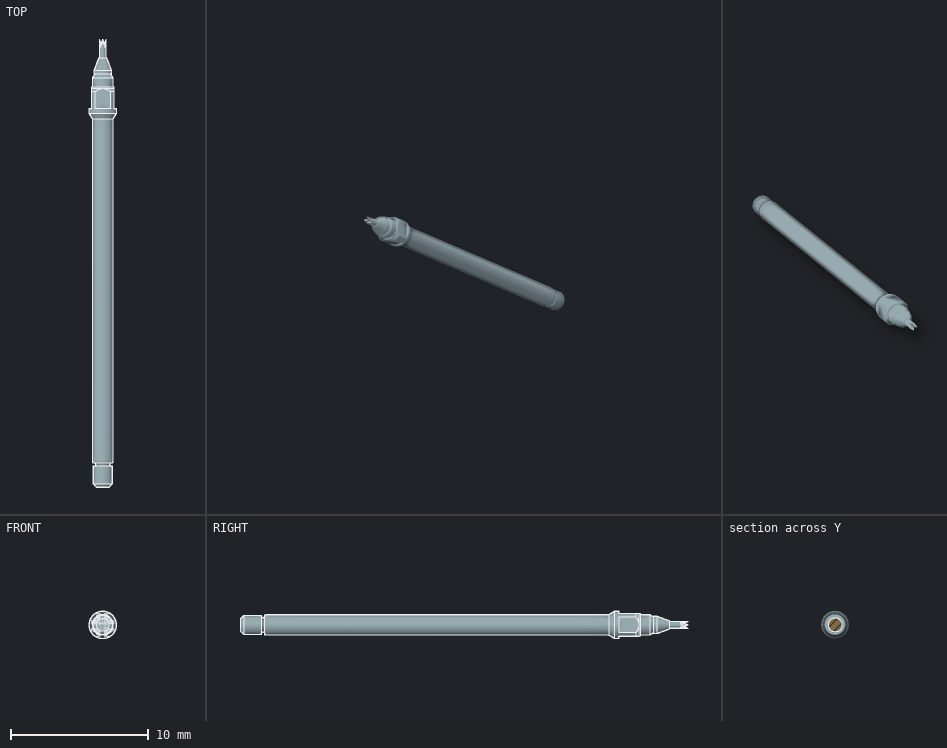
import cadquery as cq
import math

total_length = 32.5

tip_length = 1.35
nose_cone_end = 2.26
nose_land_end = 2.5
front_barrel_start = 2.78
wrench_start = 3.45
wrench_land_end = 3.55
wrench_full_start = 3.77
collar_start = 5.02
collar_end = 5.35
collar_taper_end = 5.76

tail_chamfer_length = 0.25
groove_rear = 1.53
groove_front = 1.76
groove_lip_end = 1.88

tip_radius = 0.25
nose_small_radius = 0.3
nose_large_radius = 0.64
neck_radius = 0.56
barrel_radius = 0.75
wrench_front_radius = 0.82
collar_radius = 1.0
groove_floor_radius = 0.52
groove_lip_radius = 0.72
tail_radius = 0.7
tail_end_radius = 0.45

across_flats = 1.66

crown_depth = 0.55
crown_groove_angles = (45, 135)


def from_tip(distance):
    """Y position of a station measured back from the crown tip."""
    return total_length - distance


def turned_body():
    """Revolve the half profile, given as (radius, Y), about the Y axis."""
    groove_round = (groove_front - groove_rear) / 2
    groove_side_radius = groove_floor_radius + groove_round
    profile = (
        cq.Workplane("XY")
        .lineTo(tail_end_radius, 0)
        .lineTo(tail_radius, tail_chamfer_length)
        .lineTo(tail_radius, groove_rear)
        .lineTo(groove_side_radius, groove_rear)
        .threePointArc(
            (groove_floor_radius, groove_rear + groove_round),
            (groove_side_radius, groove_front),
        )
        .lineTo(groove_lip_radius, groove_front)
        .lineTo(barrel_radius, groove_lip_end)
        .lineTo(barrel_radius, from_tip(collar_taper_end))
        .lineTo(collar_radius, from_tip(collar_end))
        .lineTo(collar_radius, from_tip(wrench_full_start))
        .lineTo(wrench_front_radius, from_tip(wrench_land_end))
        .lineTo(wrench_front_radius, from_tip(wrench_start))
        .lineTo(barrel_radius, from_tip(wrench_start))
        .lineTo(barrel_radius, from_tip(front_barrel_start))
        .lineTo(neck_radius, from_tip(nose_land_end))
        .lineTo(nose_large_radius, from_tip(nose_land_end))
        .lineTo(nose_large_radius, from_tip(nose_cone_end))
        .lineTo(nose_small_radius, from_tip(tip_length))
        .lineTo(tip_radius, from_tip(tip_length))
        .lineTo(tip_radius, total_length)
        .lineTo(0, total_length)
        .close()
    )
    return profile.revolve(360, (0, 0, 0), (0, 1, 0))


def wrench_flat_cutter():
    """Square ring that trims the wrench section to its four flats."""
    length = collar_start - wrench_start
    centre_y = from_tip((collar_start + wrench_start) / 2)
    stock_width = 3 * collar_radius
    outer = cq.Workplane("XY").box(stock_width, length, stock_width)
    inner = cq.Workplane("XY").box(across_flats, length, across_flats)
    return outer.cut(inner).translate((0, centre_y, 0))


def crown_groove(angle):
    """V groove across the tip, turned about the Y axis by the angle.

    Its half width lets two crossing grooves meet in sharp points on the tip rim.
    """
    half_width = tip_radius * math.sin(math.radians(45))
    groove = (
        cq.Workplane("XY")
        .moveTo(-half_width, total_length)
        .lineTo(0, from_tip(crown_depth))
        .lineTo(half_width, total_length)
        .close()
        .extrude(2 * tip_radius, both=True)
    )
    return groove.rotate((0, 0, 0), (0, 1, 0), angle)


result = turned_body().cut(wrench_flat_cutter())
for groove_angle in crown_groove_angles:
    result = result.cut(crown_groove(groove_angle))